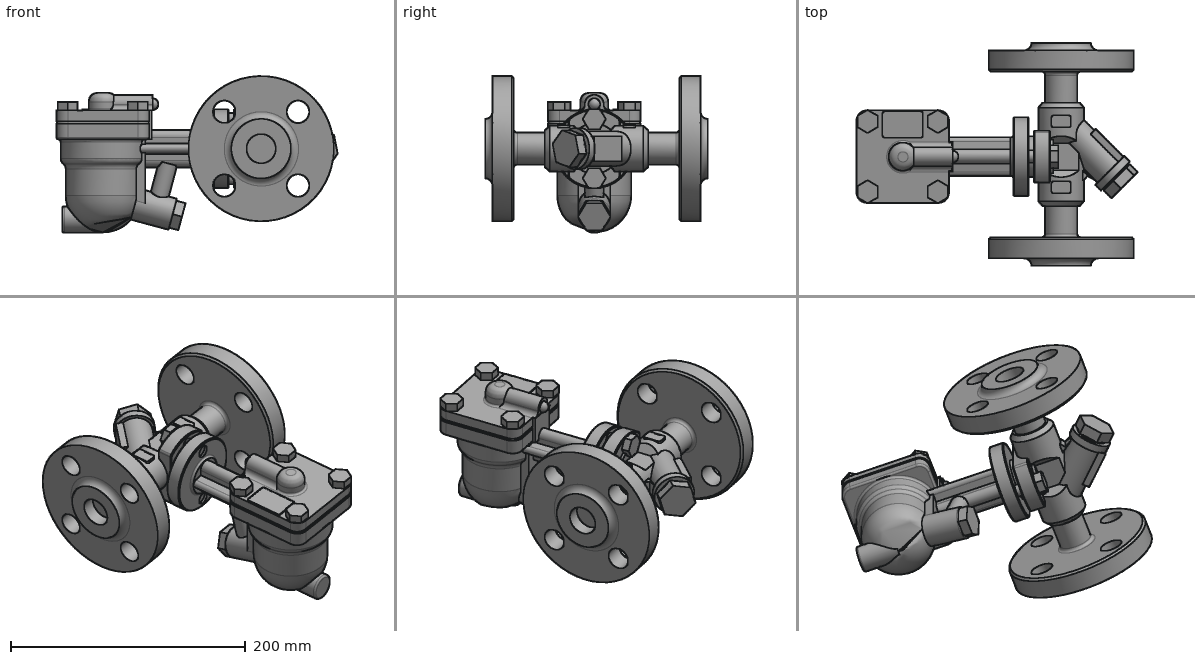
import cadquery as cq
import math

TRAP_X = -135.0
TRAP_Y = -2.0

PIPE_END = 95.0
PIPE_FLANGE_DIA = 124.0
PIPE_FLANGE_THICK = 18.2
PIPE_FLANGE_EDGE = 2.0
RAISED_FACE_DIA = 51.0
RAISED_FACE_HEIGHT = 6.2
PIPE_BOLT_HOLE_DIA = 19.0
PIPE_BOLT_OFFSET = 31.5
BORE_DIA = 25.0
BORE_DEPTH = 12.0

PIPE_DIA = 27.5
PIPE_ROOT_FILLET = 3.0
VALVE_DIA = 39.0
VALVE_HALF_LENGTH = 39.8
VALVE_TAPER_LENGTH = 4.3
VALVE_TAPER_DIA = 31.7
PAD_OFFSET = 28.0
PAD_LENGTH = 16.5
PAD_WIDTH = 10.3
PAD_TOP = 20.2
PAD_CORNER = 2.0

STRAINER_TOP_Y = 27.8
STRAINER_ANGLE = -45.0
STRAINER_END = 76.5
STRAINER_DIA = 29.8
STRAINER_COLLAR_DIA = 35.0
STRAINER_COLLAR_THICK = 6.7
STRAINER_PLUG_FLATS = 28.3
STRAINER_PLUG_HEIGHT = 9.5
STRAINER_NECK_DIA = 26.5
STRAINER_NECK_LENGTH = 1.5
STRAINER_PLUG_TURN = 15.0
STRAINER_RIB_WIDTH = 21.5
STRAINER_RIB_REACH = 16.5
STRAINER_RIB_LENGTH = 33.5
WEB_PIPE_END_Y = -22.0
WEB_CORNER_X = 22.3
WEB_CORNER_Y = -18.5
WEB_LEG_END_X = 29.0
WEB_THICK = 12.0

TRAP_FLANGE_FACE = -27.5
TRAP_FLANGE_THICK = 13.2
JOINT_FLANGE_DIA = 67.5
JOINT_EDGE = 1.0
SPIGOT_DIA = 35.0
SPIGOT_LENGTH = 4.0
VALVE_FLANGE_THICK = 14.2
VALVE_FLANGE_WIDTH = 44.2
VALVE_FLANGE_CORNER = 3.0
JOINT_BACKING_DIA = 42.7
JOINT_BACKING_THICK = 2.6
JOINT_BOLT_DIA = 10.5
JOINT_BOLT_OFFSET = 25.2
JOINT_BOLT_RECESS = 2.5
JOINT_HEAD_HEIGHT = 7.0
HEAD_FLATS = 17.0
HEAD_POCKET_FLOOR = 12.5
HEAD_POCKET_FLOOR_WIDTH = 23.0
HEAD_POCKET_TOP_WIDTH = 35.0

BOWL_DIA = 63.4
BOWL_DOME_Z = -39.8
BOWL_TOP_Z = -17.3
SHOULDER_DIA = 72.0
SHOULDER_Z = -8.2
RIM_SIDE = 79.2
RIM_CORNER = 9.5
RIM_BOTTOM_Z = 8.0
RIM_FILLET = 2.0
UNDER_RIM_FILLET = 2.2
GASKET_Z = 21.4
GASKET_THICK = 2.0
GASKET_INSET = 0.5

COVER_TOP_Z = 32.6
COVER_BOLT_OFFSET = 30.0
COVER_HEAD_HEIGHT = 7.2
PLATE_LENGTH = 34.5
PLATE_WIDTH = 22.3
PLATE_THICK = 1.0
PLATE_CORNER = 2.0
PLATE_OFFSET = 27.4
DOME_DIA = 24.0
DOME_TOP_Z = 47.8
DOME_FLAT_DIA = 8.6
DOME_FOOT_FILLET = 2.0
ARM_DIA = 16.0
ARM_AXIS_Z = 38.0
ARM_FOOT_FILLET = 4.8
ARM_REACH = 3.0
RISER_REACH = 2.5
RISER_WIDTH = 24.0
KNOB_DIA = 10.0

DUCT_HALF_HEIGHT = 16.0
DUCT_HALF_WIDTH = 16.5
DUCT_TIP_RADIUS = 6.2
DUCT_SIDE_RADIUS = 3.5
DUCT_ROOT_Z = 4.5
DUCT_BOSS_DIA = 33.0
DUCT_BOSS_THICK = 2.5
DUCT_BOSS_FILLET = 2.0

DRAIN_DIA = 22.5
DRAIN_Z = -60.5
DRAIN_END_X = -169.7
DRAIN_EDGE = 1.7
BLOWDOWN_ANGLE = -15.0
BLOWDOWN_DIA = 27.5
BLOWDOWN_END_X = -75.4
BLOWDOWN_END_Z = -56.0
BLOWDOWN_LENGTH = 52.8
BLOWDOWN_EDGE = 1.0
BLOWDOWN_PLUG_FLATS = 24.0
BLOWDOWN_PLUG_HEIGHT = 8.2
RETURN_DIA = 16.0
RETURN_LENGTH = 40.8
RETURN_SETBACK = 15.0
RIB_WIDTH = 27.0
RIB_REACH = 36.5
RIB_BOTTOM_Z = -47.8

HEX_CORNER_RATIO = 2 / math.sqrt(3)


def rod(start, direction, diameter, length):
    axis = cq.Vector(*direction)
    return cq.Workplane(obj=cq.Solid.makeCylinder(diameter / 2, length, cq.Vector(*start), axis))


def hex_prism(plane, flats, height, turn=0.0):
    """Hexagon on the origin of a plane, with its first corner `turn` degrees from the plane's x axis."""
    return (
        cq.Workplane(plane)
        .transformed(rotate=(0, 0, turn))
        .polygon(6, flats * HEX_CORNER_RATIO)
        .extrude(height)
    )


def block(x0, x1, y_middle, width, z0, z1):
    box = cq.Workplane().box(x1 - x0, width, z1 - z0, centered=(False, True, False))
    return box.translate((x0, y_middle, z0))


def pipe_half():
    """The +Y half of the straight pipe with its end flange, revolved about Y."""
    face = PIPE_END - RAISED_FACE_HEIGHT
    back = face - PIPE_FLANGE_THICK
    flange_radius = PIPE_FLANGE_DIA / 2
    face_radius = RAISED_FACE_DIA / 2
    pipe_radius = PIPE_DIA / 2
    valve_radius = VALVE_DIA / 2
    taper_end = VALVE_HALF_LENGTH + VALVE_TAPER_LENGTH
    half = (
        cq.Workplane("XY")
        .lineTo(valve_radius, 0)
        .lineTo(valve_radius, VALVE_HALF_LENGTH)
        .lineTo(VALVE_TAPER_DIA / 2, taper_end)
        .lineTo(pipe_radius, taper_end)
        .lineTo(pipe_radius, back - PIPE_ROOT_FILLET)
        .radiusArc((pipe_radius + PIPE_ROOT_FILLET, back), PIPE_ROOT_FILLET)
        .lineTo(flange_radius - PIPE_FLANGE_EDGE, back)
        .lineTo(flange_radius, back + PIPE_FLANGE_EDGE)
        .lineTo(flange_radius, face)
        .lineTo(face_radius + RAISED_FACE_HEIGHT, face)
        .radiusArc((face_radius, PIPE_END), RAISED_FACE_HEIGHT)
        .lineTo(0, PIPE_END)
        .close()
        .revolve(360, (0, 0, 0), (0, 1, 0))
    )
    half = half.cut(rod((0, PIPE_END, 0), (0, -1, 0), BORE_DIA, BORE_DEPTH))
    for x in (-PIPE_BOLT_OFFSET, PIPE_BOLT_OFFSET):
        for z in (-PIPE_BOLT_OFFSET, PIPE_BOLT_OFFSET):
            half = half.cut(rod((x, back, z), (0, 1, 0), PIPE_BOLT_HOLE_DIA, PIPE_FLANGE_THICK))
    return half


def identification_pad(y):
    return (
        cq.Workplane("XY")
        .center(0, y)
        .rect(PAD_LENGTH, PAD_WIDTH)
        .extrude(PAD_TOP)
        .edges("|Z")
        .fillet(PAD_CORNER)
    )


def head_pocket():
    """Sloped-sided recess across the top of the valve, clearing a joint bolt head."""
    half_floor = HEAD_POCKET_FLOOR_WIDTH / 2
    half_top = HEAD_POCKET_TOP_WIDTH / 2
    return (
        cq.Workplane("YZ", origin=(-VALVE_DIA / 2, TRAP_Y, 0))
        .moveTo(-half_floor, HEAD_POCKET_FLOOR)
        .lineTo(half_floor, HEAD_POCKET_FLOOR)
        .lineTo(half_top, VALVE_DIA / 2)
        .lineTo(-half_top, VALVE_DIA / 2)
        .close()
        .extrude(VALVE_DIA)
    )


def strainer_leg():
    """Slanting leg with a side rib, a collar and a hexagon plug, built along its own axis."""
    angle = math.radians(STRAINER_ANGLE)
    along = (math.cos(angle), math.sin(angle), 0)
    plug_start = STRAINER_END - STRAINER_PLUG_HEIGHT
    collar_end = plug_start - STRAINER_NECK_LENGTH
    collar_start = collar_end - STRAINER_COLLAR_THICK

    def section(distance):
        start = (along[0] * distance, STRAINER_TOP_Y + along[1] * distance, 0)
        return cq.Plane(start, (0, 0, -1), along)

    leg = cq.Workplane(section(0)).circle(STRAINER_DIA / 2).extrude(collar_start)
    rib = (
        cq.Workplane(section(collar_start - STRAINER_RIB_LENGTH))
        .center(0, STRAINER_RIB_REACH / 2)
        .rect(STRAINER_RIB_WIDTH, STRAINER_RIB_REACH)
        .extrude(STRAINER_RIB_LENGTH)
    )
    collar = cq.Workplane(section(collar_start)).circle(STRAINER_COLLAR_DIA / 2)
    collar = collar.extrude(STRAINER_COLLAR_THICK)
    neck = cq.Workplane(section(collar_end)).circle(STRAINER_NECK_DIA / 2)
    neck = neck.extrude(STRAINER_NECK_LENGTH)
    plug = hex_prism(section(plug_start), STRAINER_PLUG_FLATS, STRAINER_PLUG_HEIGHT, STRAINER_PLUG_TURN)
    return leg.union(rib).union(collar).union(neck).union(plug)


def strainer_web():
    """Web filling the sharp corner between the strainer leg and the pipe."""
    return (
        cq.Workplane("XY", origin=(0, 0, -WEB_THICK / 2))
        .lineTo(0, WEB_PIPE_END_Y)
        .lineTo(VALVE_DIA / 2, WEB_PIPE_END_Y)
        .lineTo(WEB_CORNER_X, WEB_CORNER_Y)
        .lineTo(WEB_LEG_END_X, WEB_PIPE_END_Y)
        .close()
        .extrude(WEB_THICK)
    )


def valve_joint():
    """Flat-sided joint flange with its spigot and two hexagon bolts."""
    front = TRAP_FLANGE_FACE + SPIGOT_LENGTH
    back = front + VALVE_FLANGE_THICK
    disc = rod((front, TRAP_Y, 0), (1, 0, 0), JOINT_FLANGE_DIA, VALVE_FLANGE_THICK)
    sides = block(front, back, TRAP_Y, VALVE_FLANGE_WIDTH, -JOINT_FLANGE_DIA / 2, JOINT_FLANGE_DIA / 2)
    joint = disc.intersect(sides).edges("|X").fillet(VALVE_FLANGE_CORNER)
    joint = joint.faces("<X or >X").edges().chamfer(JOINT_EDGE)
    backing_length = VALVE_FLANGE_THICK + JOINT_BACKING_THICK
    joint = joint.union(rod((front, TRAP_Y, 0), (1, 0, 0), JOINT_BACKING_DIA, backing_length))
    joint = joint.union(rod((TRAP_FLANGE_FACE, TRAP_Y, 0), (1, 0, 0), SPIGOT_DIA, SPIGOT_LENGTH))
    bolt_end = TRAP_FLANGE_FACE - TRAP_FLANGE_THICK + JOINT_BOLT_RECESS
    for z in (-JOINT_BOLT_OFFSET, JOINT_BOLT_OFFSET):
        joint = joint.union(rod((bolt_end, TRAP_Y, z), (1, 0, 0), JOINT_BOLT_DIA, back - bolt_end))
        head_plane = cq.Plane((back, TRAP_Y, z), (0, 1, 0), (1, 0, 0))
        joint = joint.union(hex_prism(head_plane, HEAD_FLATS, JOINT_HEAD_HEIGHT))
    return joint


def make_valve():
    half = pipe_half()
    valve = half.union(half.mirror("XZ"))
    for y in (-PAD_OFFSET, PAD_OFFSET):
        valve = valve.union(identification_pad(y))
    valve = valve.cut(head_pocket()).cut(head_pocket().mirror("XY"))
    return valve.union(strainer_leg()).union(strainer_web()).union(valve_joint())


def trap_square(side, z0, z1):
    corner = RIM_CORNER - (RIM_SIDE - side) / 2
    slab = cq.Workplane("XY", origin=(TRAP_X, TRAP_Y, z0)).rect(side, side).extrude(z1 - z0)
    return slab.edges("|Z").fillet(corner)


def bowl():
    """Round-bottomed bowl with a wider shoulder, revolved about the trap axis."""
    radius = BOWL_DIA / 2
    shoulder = SHOULDER_DIA / 2
    half_rise = (SHOULDER_Z - BOWL_TOP_Z) / 2
    half_step = (shoulder - radius) / 2
    bend_middle = (radius + half_step, BOWL_TOP_Z + half_rise)
    bend_radius = (half_rise**2 + half_step**2) / (2 * half_step)
    return (
        cq.Workplane("XZ", origin=(TRAP_X, TRAP_Y, 0))
        .moveTo(0, BOWL_DOME_Z - radius)
        .radiusArc((radius, BOWL_DOME_Z), -radius)
        .lineTo(radius, BOWL_TOP_Z)
        .radiusArc(bend_middle, bend_radius)
        .radiusArc((shoulder, SHOULDER_Z), -bend_radius)
        .lineTo(shoulder, RIM_BOTTOM_Z - UNDER_RIM_FILLET)
        .radiusArc((shoulder + UNDER_RIM_FILLET, RIM_BOTTOM_Z), UNDER_RIM_FILLET)
        .lineTo(0, RIM_BOTTOM_Z)
        .close()
        .revolve(360, (0, 0, 0), (0, 1, 0))
    )


def rim_and_cover():
    rim = trap_square(RIM_SIDE, RIM_BOTTOM_Z, GASKET_Z).faces("<Z").edges().fillet(RIM_FILLET)
    gasket = trap_square(RIM_SIDE - 2 * GASKET_INSET, GASKET_Z, GASKET_Z + GASKET_THICK)
    cover = trap_square(RIM_SIDE, GASKET_Z + GASKET_THICK, COVER_TOP_Z)
    return rim.union(gasket).union(cover)


def nameplate():
    return (
        cq.Workplane("XY", origin=(TRAP_X, TRAP_Y + PLATE_OFFSET, COVER_TOP_Z))
        .rect(PLATE_LENGTH, PLATE_WIDTH)
        .extrude(PLATE_THICK)
        .edges("|Z")
        .fillet(PLATE_CORNER)
    )


def cover_bolt_head(x, y):
    plane = cq.Plane((TRAP_X + x, TRAP_Y + y, COVER_TOP_Z))
    return hex_prism(plane, HEAD_FLATS, COVER_HEAD_HEIGHT, 90)


def cover_passage():
    """Domed boss and round-topped arm on the cover, the arm's riser down its side and its end knob."""
    side = TRAP_X + RIM_SIDE / 2
    arm_end = side + ARM_REACH
    dome_radius = DOME_DIA / 2
    flat_radius = DOME_FLAT_DIA / 2
    crown = dome_radius - flat_radius
    dome = (
        cq.Workplane("XZ", origin=(TRAP_X, TRAP_Y, 0))
        .moveTo(0, COVER_TOP_Z)
        .lineTo(dome_radius + DOME_FOOT_FILLET, COVER_TOP_Z)
        .radiusArc((dome_radius, COVER_TOP_Z + DOME_FOOT_FILLET), DOME_FOOT_FILLET)
        .lineTo(dome_radius, DOME_TOP_Z - crown)
        .radiusArc((flat_radius, DOME_TOP_Z), -crown)
        .lineTo(0, DOME_TOP_Z)
        .close()
        .revolve(360, (0, 0, 0), (0, 1, 0))
    )
    arm_radius = ARM_DIA / 2
    foot_top = COVER_TOP_Z + ARM_FOOT_FILLET
    arm = (
        cq.Workplane("YZ", origin=(TRAP_X, TRAP_Y, 0))
        .moveTo(-arm_radius - ARM_FOOT_FILLET, COVER_TOP_Z)
        .radiusArc((-arm_radius, foot_top), -ARM_FOOT_FILLET)
        .lineTo(-arm_radius, ARM_AXIS_Z)
        .radiusArc((arm_radius, ARM_AXIS_Z), arm_radius)
        .lineTo(arm_radius, foot_top)
        .radiusArc((arm_radius + ARM_FOOT_FILLET, COVER_TOP_Z), -ARM_FOOT_FILLET)
        .close()
        .extrude(arm_end - TRAP_X)
    )
    riser = block(TRAP_X, side + RISER_REACH, TRAP_Y, RISER_WIDTH, RIM_BOTTOM_Z, COVER_TOP_Z)
    knob = cq.Workplane().sphere(KNOB_DIA / 2).translate((arm_end, TRAP_Y, ARM_AXIS_Z))
    return dome.union(arm).union(riser).union(knob)


def duct():
    """Duct from the trap to its flange, plus-shaped in section with rounded tips."""
    flange_back = TRAP_FLANGE_FACE - TRAP_FLANGE_THICK
    tip_z = DUCT_HALF_HEIGHT - DUCT_TIP_RADIUS
    side_y = DUCT_HALF_WIDTH - DUCT_SIDE_RADIUS
    return (
        cq.Workplane("YZ", origin=(TRAP_X, TRAP_Y, 0))
        .moveTo(-DUCT_TIP_RADIUS, tip_z)
        .radiusArc((DUCT_TIP_RADIUS, tip_z), DUCT_TIP_RADIUS)
        .lineTo(DUCT_TIP_RADIUS, DUCT_ROOT_Z)
        .lineTo(side_y, DUCT_SIDE_RADIUS)
        .radiusArc((side_y, -DUCT_SIDE_RADIUS), DUCT_SIDE_RADIUS)
        .lineTo(DUCT_TIP_RADIUS, -DUCT_ROOT_Z)
        .lineTo(DUCT_TIP_RADIUS, -tip_z)
        .radiusArc((-DUCT_TIP_RADIUS, -tip_z), DUCT_TIP_RADIUS)
        .lineTo(-DUCT_TIP_RADIUS, -DUCT_ROOT_Z)
        .lineTo(-side_y, -DUCT_SIDE_RADIUS)
        .radiusArc((-side_y, DUCT_SIDE_RADIUS), DUCT_SIDE_RADIUS)
        .lineTo(-DUCT_TIP_RADIUS, DUCT_ROOT_Z)
        .close()
        .extrude(flange_back - TRAP_X)
    )


def trap_flange():
    """Round joint flange with a filleted boss around the duct and a hole for each joint bolt."""
    back = TRAP_FLANGE_FACE - TRAP_FLANGE_THICK
    flange = rod((back, TRAP_Y, 0), (1, 0, 0), JOINT_FLANGE_DIA, TRAP_FLANGE_THICK)
    flange = flange.edges().chamfer(JOINT_EDGE)
    flange = flange.union(rod((back - DUCT_BOSS_THICK, TRAP_Y, 0), (1, 0, 0), DUCT_BOSS_DIA, DUCT_BOSS_THICK))
    back_face = cq.selectors.NearestToPointSelector((back, TRAP_Y, JOINT_BOLT_OFFSET))
    boss_root = cq.selectors.RadiusNthSelector(0)
    flange = flange.faces(back_face).edges(boss_root).fillet(DUCT_BOSS_FILLET)
    for z in (-JOINT_BOLT_OFFSET, JOINT_BOLT_OFFSET):
        flange = flange.cut(rod((back, TRAP_Y, z), (1, 0, 0), JOINT_BOLT_DIA, TRAP_FLANGE_THICK))
    return flange


def drain():
    stub = rod((DRAIN_END_X, TRAP_Y, DRAIN_Z), (1, 0, 0), DRAIN_DIA, TRAP_X - DRAIN_END_X)
    return stub.faces("<X").edges().fillet(DRAIN_EDGE)


def blowdown():
    """Slanting leg with a hexagon plug, and the return pipe rising from it to the duct."""
    angle = math.radians(BLOWDOWN_ANGLE)
    out = cq.Vector(math.cos(angle), 0, math.sin(angle))
    up = cq.Vector(-math.sin(angle), 0, math.cos(angle))
    end = cq.Vector(BLOWDOWN_END_X, TRAP_Y, BLOWDOWN_END_Z)
    leg = rod(end.toTuple(), (-out).toTuple(), BLOWDOWN_DIA, BLOWDOWN_LENGTH)
    leg = leg.edges(">X").fillet(BLOWDOWN_EDGE)
    plug = hex_prism(cq.Plane(end, (0, 1, 0), out), BLOWDOWN_PLUG_FLATS, BLOWDOWN_PLUG_HEIGHT)
    pipe_start = end - out * RETURN_SETBACK
    pipe = rod(pipe_start.toTuple(), up.toTuple(), RETURN_DIA, RETURN_LENGTH)
    rib = block(TRAP_X, TRAP_X + RIB_REACH, TRAP_Y, RIB_WIDTH, RIB_BOTTOM_Z, RIM_BOTTOM_Z)
    return leg.union(plug).union(pipe).union(rib)


def make_trap():
    trap = bowl().union(rim_and_cover())
    trap = trap.union(cover_passage()).union(nameplate())
    for x in (-COVER_BOLT_OFFSET, COVER_BOLT_OFFSET):
        for y in (-COVER_BOLT_OFFSET, COVER_BOLT_OFFSET):
            trap = trap.union(cover_bolt_head(x, y))
    trap = trap.union(duct()).union(trap_flange())
    return trap.union(drain()).union(blowdown())


valve = make_valve()
trap = make_trap()
result = cq.Compound.makeCompound([valve.solids().val(), trap.solids().val()])